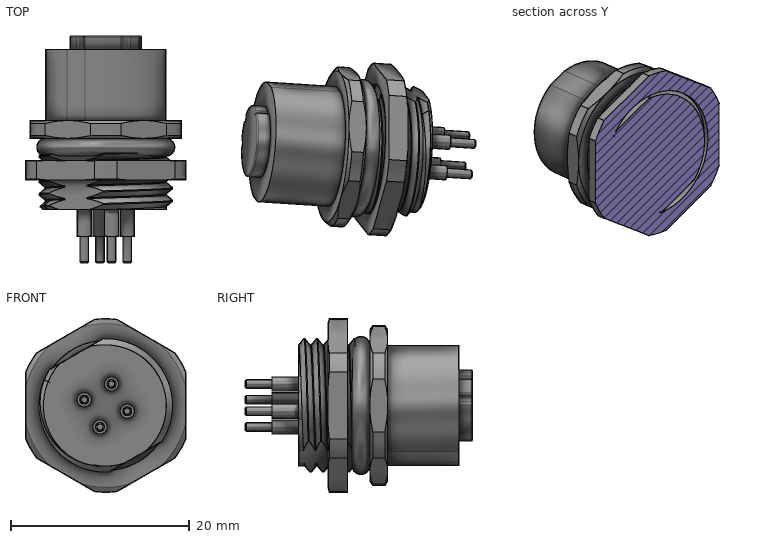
import cadquery as cq
import math


body_radius = 6.75
body_front = 18.0
flat_distance = 6.65
flat_normal_angle = 120.0

thread_pitch = 1.41
thread_crest_radius = 7.5
thread_root_radius = 6.8
thread_half_angle = 40.0
crest_width = 0.12
ridge_embed = 0.05
crest_height_at_x = 1.0
thread_start_angle = -157.5
runout_angle = 112.5
thread_turns = 4.4
rear_edge_radius = 7.0
rear_chamfer_angle = 40.0

flange_rear = 8.0
flange_thickness = 2.0
flange_across_flats = 17.0
flange_corner_diameter = 18.0
flange_chamfer_diameter = 17.0
flange_chamfer_length = 0.33
ring_cord_diameter = 2.0
ring_rear = flange_rear - ring_cord_diameter
ring_outer_diameter = 15.5

nut_rear = 3.3
nut_thickness = 2.2
nut_across_flats = 18.0
nut_corner_diameter = 19.5
nut_chamfer_diameter = 18.4
nut_chamfer_length = 0.15
nut_bore_radius = 7.3

insert_radius = 4.0
insert_front = 19.5
insert_rim_fillet = 0.15
groove_radius = 0.4
groove_mouth_fillet = 0.35
groove_angles = (135.0, 56.0, 11.0)

pin_circle_radius = 2.5
pin_count = 4
first_pin_angle = 75.0
pin_sleeve_diameter = 1.6
pin_sleeve_length = 3.0
pin_diameter = 1.0
pin_length = 6.0
pin_tip_chamfer = 0.15

overlap = 1.0


def cylinder(radius, start, end):
    """Round bar on the Y axis between two Y positions."""
    return cq.Workplane("ZX").workplane(offset=start).circle(radius).extrude(end - start)


def between_flats(distance, start, end):
    """Slab that keeps the material between the two parallel flats."""
    slab = cq.Workplane("XY").box(2 * distance, end - start, 2 * flange_across_flats)
    slab = slab.translate((0, (start + end) / 2, 0))
    return slab.rotate((0, 0, 0), (0, 1, 0), -flat_normal_angle)


def chamfered_hexagon(across_flats, corner_diameter, chamfer_diameter, chamfer_length,
                      rear, thickness, chamfer_front):
    """Hexagon with flats at +X and -X, its corners turned round and its faces chamfered."""
    front = rear + thickness
    hexagon = (
        cq.Workplane("ZX").workplane(offset=rear)
        .polygon(6, across_flats / math.cos(math.pi / 6))
        .extrude(thickness)
    )
    corner_radius = corner_diameter / 2
    face_radius = chamfer_diameter / 2
    turning = cq.Workplane("XY").moveTo(0, rear).lineTo(face_radius, rear)
    turning = turning.lineTo(corner_radius, rear + chamfer_length)
    if chamfer_front:
        turning = turning.lineTo(corner_radius, front - chamfer_length).lineTo(face_radius, front)
    else:
        turning = turning.lineTo(corner_radius, front)
    turning = turning.lineTo(0, front).close().revolve(360, (0, 0, 0), (0, 1, 0))
    return hexagon.intersect(turning)


def tooth_section(crest_radius):
    """Thread tooth section in the XZ plane, its base sunk a little below the root."""
    base_depth = thread_crest_radius - thread_root_radius + ridge_embed
    base_radius = crest_radius - base_depth
    half_crest = crest_width / 2
    half_base = half_crest + base_depth * math.tan(math.radians(thread_half_angle))
    return (
        cq.Workplane("XZ")
        .moveTo(base_radius, -half_base)
        .lineTo(crest_radius, -half_crest)
        .lineTo(crest_radius, half_crest)
        .lineTo(base_radius, half_base)
        .close()
    )


def thread_ridge():
    """Full-height helical ridge with a fading start, wound about Z and then laid along Y."""
    start_height = crest_height_at_x + thread_pitch * thread_start_angle / 360
    main_helix = cq.Wire.makeHelix(thread_pitch, thread_turns * thread_pitch, thread_crest_radius)
    main = tooth_section(thread_crest_radius).sweep(cq.Workplane(main_helix), isFrenet=True)
    main = main.rotate((0, 0, 0), (0, 0, 1), thread_start_angle)
    main = main.translate((0, 0, start_height))

    fade_depth = thread_crest_radius - thread_root_radius
    fade_turns = runout_angle / 360
    fade_rise = fade_turns * thread_pitch
    slant = math.hypot(fade_rise, fade_depth)
    cone_angle = math.degrees(math.atan2(fade_depth, fade_rise))
    fade_helix = cq.Wire.makeHelix(slant / fade_turns, slant, thread_root_radius, angle=cone_angle)
    fade = tooth_section(thread_root_radius).sweep(cq.Workplane(fade_helix), isFrenet=True)
    fade = fade.rotate((0, 0, 0), (0, 0, 1), thread_start_angle - runout_angle)
    fade = fade.translate((0, 0, start_height - fade_rise))

    return main.union(fade).rotate((0, 0, 0), (1, 0, 0), -90)


def threaded_barrel():
    barrel = cylinder(thread_root_radius, 0, flange_rear).union(thread_ridge())
    outside = thread_crest_radius + overlap
    rear_chamfer = (
        cq.Workplane("XY")
        .moveTo(rear_edge_radius, -overlap)
        .lineTo(outside, -overlap)
        .lineTo(outside, (outside - rear_edge_radius) * math.tan(math.radians(rear_chamfer_angle)))
        .lineTo(rear_edge_radius, 0)
        .close()
        .revolve(360, (0, 0, 0), (0, 1, 0))
    )
    return barrel.cut(rear_chamfer).intersect(between_flats(flat_distance, 0, flange_rear))


def front_barrel():
    barrel = cylinder(body_radius, flange_rear, body_front)
    return barrel.intersect(between_flats(flat_distance, flange_rear, body_front))


def flange():
    return chamfered_hexagon(flange_across_flats, flange_corner_diameter, flange_chamfer_diameter,
                             flange_chamfer_length, flange_rear, flange_thickness, True)


def o_ring():
    """Ring with a round outer half, its inner half filled into the barrel it sits on."""
    cord_radius = ring_cord_diameter / 2
    cord_center = ring_outer_diameter / 2 - cord_radius
    middle = flange_rear - cord_radius
    seat_radius = cord_center - cord_radius
    return (
        cq.Workplane("XY")
        .moveTo(seat_radius, ring_rear)
        .lineTo(cord_center, ring_rear)
        .threePointArc((cord_center + cord_radius, middle), (cord_center, flange_rear))
        .lineTo(seat_radius, flange_rear)
        .close()
        .revolve(360, (0, 0, 0), (0, 1, 0))
    )


def nut():
    blank = chamfered_hexagon(nut_across_flats, nut_corner_diameter, nut_chamfer_diameter,
                              nut_chamfer_length, nut_rear, nut_thickness, False)
    return blank.cut(cylinder(nut_bore_radius, nut_rear, nut_rear + nut_thickness))


def contact_insert():
    """Round insert with a rounded front rim and round-mouthed grooves along its side."""
    rear = body_front - overlap
    insert = cylinder(insert_radius, rear, insert_front)
    reach = 1.5 * groove_radius
    for angle in groove_angles:
        x = insert_radius * math.cos(math.radians(angle))
        z = insert_radius * math.sin(math.radians(angle))
        insert = insert.cut(cylinder(groove_radius, rear, insert_front).translate((x, 0, z)))
        around_mouth = cq.selectors.BoxSelector(
            (x - reach, rear, z - reach), (x + reach, insert_front, z + reach)
        )
        insert = insert.edges("|Y").edges(around_mouth).fillet(groove_mouth_fillet)
    return insert.faces(">Y").edges().fillet(insert_rim_fillet)


def pins():
    sleeve_radius = pin_sleeve_diameter / 2
    radius = pin_diameter / 2
    pin = cylinder(sleeve_radius, -pin_sleeve_length, overlap)
    wire = cylinder(radius, -pin_length, 0).faces("<Y").chamfer(pin_tip_chamfer)
    pin = pin.union(wire).translate((pin_circle_radius, 0, 0))
    placed = []
    for index in range(pin_count):
        angle = first_pin_angle + index * 360 / pin_count
        placed.append(pin.rotate((0, 0, 0), (0, 1, 0), -angle))
    return placed


result = threaded_barrel()
for piece in [front_barrel(), flange(), o_ring(), nut(), contact_insert(), *pins()]:
    result = result.union(piece)